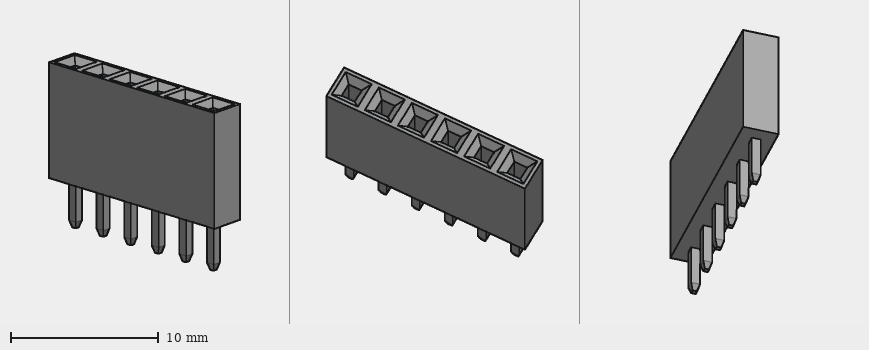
import cadquery as cq

pin_count = 6
pitch = 2.54
body_length = pin_count * pitch
body_width = pitch
body_height = 8.3

mouth_width = 2.0
socket_width = 1.0
funnel_depth = (mouth_width - socket_width) / 2
socket_depth = 5.0

pin_width = 0.64
pin_length = 3.55
tip_width = pin_width / 2
tip_length = 0.55

pin_positions = [((i - (pin_count - 1) / 2) * pitch, 0) for i in range(pin_count)]


def make_body():
    return cq.Workplane("XY").box(body_length, body_width, body_height, centered=(True, True, False))


def square_frustum(x, y, start_z, start_width, end_z, end_width):
    """Square frustum between two heights, centred on (x, y)."""
    return (
        cq.Workplane("XY", origin=(x, y, start_z))
        .rect(start_width, start_width)
        .workplane(offset=end_z - start_z)
        .rect(end_width, end_width)
        .loft(ruled=True)
    )


def make_socket(x, y):
    """Cutter for one socket: a square bore under a tapered lead-in."""
    funnel_bottom = body_height - funnel_depth
    funnel = square_frustum(x, y, funnel_bottom, socket_width, body_height, mouth_width)
    bore = (
        cq.Workplane("XY", origin=(x, y, body_height - socket_depth))
        .rect(socket_width, socket_width)
        .extrude(socket_depth - funnel_depth)
    )
    return bore.union(funnel)


def make_pin(x, y):
    """One square pin below the body, ending in a tapered tip."""
    shank_length = pin_length - tip_length
    shank = (
        cq.Workplane("XY", origin=(x, y, 0))
        .rect(pin_width, pin_width)
        .extrude(-shank_length)
    )
    tip = square_frustum(x, y, -pin_length, tip_width, -shank_length, pin_width)
    return shank.union(tip)


result = make_body()
for x, y in pin_positions:
    result = result.cut(make_socket(x, y))
    result = result.union(make_pin(x, y))